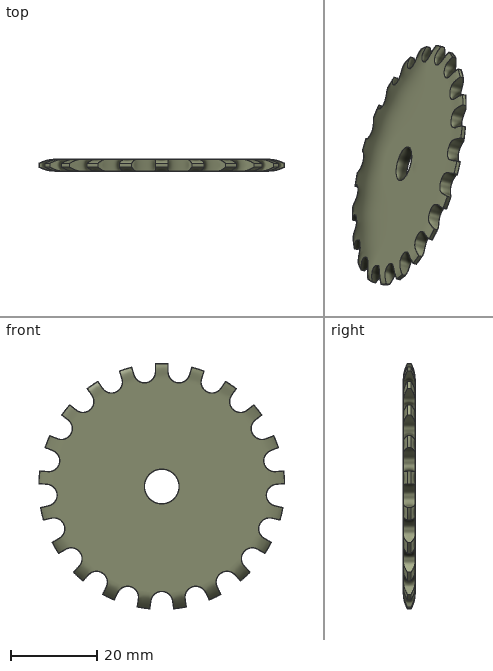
import cadquery as cq
import math

tooth_count = 21
tip_radius = 28.5
pitch_radius = 26.85
roller_radius = 2.5
thickness = 2.8
tip_width = 0.85
side_arc_radius = 8.0
bore_diameter = 8.0

half_pitch_angle = math.pi / tooth_count
half_thickness = thickness / 2
half_tip_width = tip_width / 2
root_radius = pitch_radius - roller_radius
side_arc_drop = half_thickness - half_tip_width
side_arc_reach = math.sqrt(side_arc_radius**2 - (side_arc_radius - side_arc_drop) ** 2)
face_radius = tip_radius - side_arc_reach


def side_arc_middle(side):
    """Point halfway along the side arc, as (axial, radial); side is +1 or -1."""
    half_sweep = math.asin(side_arc_reach / side_arc_radius) / 2
    axial = half_thickness - side_arc_radius * (1 - math.cos(half_sweep))
    radial = face_radius + side_arc_radius * math.sin(half_sweep)
    return (side * axial, radial)


def make_blank():
    """Disc with a rim that narrows to the tooth tips, revolved about Y."""
    return (
        cq.Workplane("YZ")
        .moveTo(-half_thickness, 0)
        .lineTo(-half_thickness, face_radius)
        .threePointArc(side_arc_middle(-1), (-half_tip_width, tip_radius))
        .lineTo(half_tip_width, tip_radius)
        .threePointArc(side_arc_middle(1), (half_thickness, face_radius))
        .lineTo(half_thickness, 0)
        .close()
        .revolve(360, (0, 0, 0), (1, 0, 0))
    )


def make_tooth_gap():
    """Roller seat opening outward along +Z, its walls parallel to the axes of the two teeth beside it."""
    seat_x = roller_radius * math.cos(half_pitch_angle)
    seat_z = pitch_radius - roller_radius * math.sin(half_pitch_angle)
    outer_z = tip_radius + roller_radius
    outer_x = seat_x + (outer_z - seat_z) * math.tan(half_pitch_angle)
    return (
        cq.Workplane("XZ", origin=(0, half_thickness, 0))
        .moveTo(-outer_x, outer_z)
        .lineTo(-seat_x, seat_z)
        .threePointArc((0, root_radius), (seat_x, seat_z))
        .lineTo(outer_x, outer_z)
        .close()
        .extrude(thickness)
    )


def cut_tooth_gaps(blank):
    """Cut a gap between every pair of teeth, leaving one tooth centred on +Z."""
    gap = make_tooth_gap()
    for index in range(tooth_count):
        angle = math.degrees(half_pitch_angle * (2 * index + 1))
        blank = blank.cut(gap.rotate((0, 0, 0), (0, 1, 0), angle))
    return blank


bore = cq.Workplane("XZ", origin=(0, half_thickness, 0)).circle(bore_diameter / 2).extrude(thickness)
result = cut_tooth_gaps(make_blank()).cut(bore)